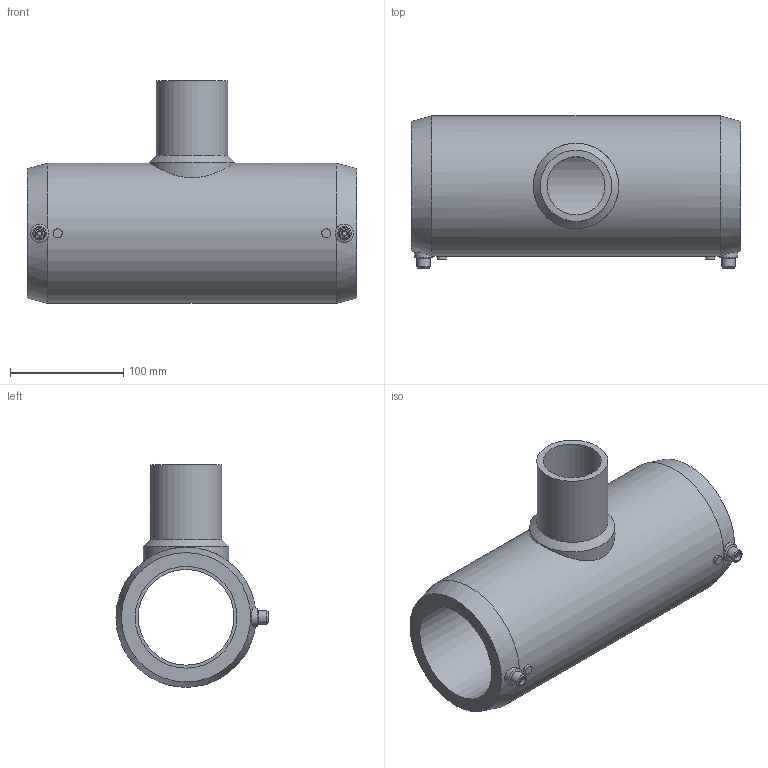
import cadquery as cq
import math

sleeve_length = 291.5
sleeve_diameter = 124.0
socket_diameter = 90.0
stop_diameter = 84.6
stop_width = 80.0
end_taper_length = 18.0
end_taper_angle = 15.0

branch_top = 135.0
branch_diameter = 63.0
branch_bore = 51.4
collar_diameter = 75.6
collar_shoulder_height = 63.0
collar_top = 69.0

terminal_inset = 11.0
terminal_base_diameter = 16.0
terminal_base_reach = 63.2
terminal_cone_height = 0.8
terminal_diameter = 12.0
terminal_reach = 72.5
terminal_chamfer = 1.0
terminal_well_diameter = 8.0
terminal_well_depth = 7.0
pin_diameter = 5.0
pin_chamfer = 0.5
pin_recess = 2.5
indicator_spacing = 16.0
indicator_diameter = 8.0
indicator_reach = 64.6

half_length = sleeve_length / 2
sleeve_radius = sleeve_diameter / 2
end_radius = sleeve_radius - end_taper_length * math.tan(math.radians(end_taper_angle))
root_depth = (sleeve_radius + socket_diameter / 2) / 2


def make_sleeve():
    """Solid sleeve with both ends tapered."""
    taper_start = half_length - end_taper_length
    profile = [
        (-half_length, 0),
        (-half_length, end_radius),
        (-taper_start, sleeve_radius),
        (taper_start, sleeve_radius),
        (half_length, end_radius),
        (half_length, 0),
    ]
    return cq.Workplane("XY").polyline(profile).close().revolve(360, (0, 0, 0), (1, 0, 0))


def make_branch():
    """Solid branch pipe with a collar that narrows to the pipe through a cone."""
    pipe_radius = branch_diameter / 2
    collar_radius = collar_diameter / 2
    profile = [
        (0, 0),
        (collar_radius, 0),
        (collar_radius, collar_shoulder_height),
        (pipe_radius, collar_top),
        (pipe_radius, branch_top),
        (0, branch_top),
    ]
    return cq.Workplane("XZ").polyline(profile).close().revolve(360, (0, 0, 0), (0, 1, 0))


def cylinder_y(x, diameter, start, end):
    """Cylinder pointing to -Y at the given X, between two distances from the sleeve axis."""
    plane = cq.Workplane("XZ", origin=(x, -start, 0))
    return plane.circle(diameter / 2).extrude(end - start)


def cylinder_x(diameter, length):
    """Cylinder along X, centred on the origin."""
    return cq.Workplane("YZ").circle(diameter / 2).extrude(length / 2, both=True)


def make_terminal(x):
    """Terminal with a cone-topped base, a shroud and a contact pin standing in an open well."""
    base = cylinder_y(x, terminal_base_diameter, root_depth, terminal_base_reach + terminal_cone_height)
    cone_run = (terminal_base_diameter - terminal_diameter) / 2
    base = base.faces("<Y").chamfer(terminal_cone_height, cone_run)
    shroud = cylinder_y(x, terminal_diameter, root_depth, terminal_reach)
    shroud = shroud.faces("<Y").chamfer(terminal_chamfer)
    well_floor = terminal_reach - terminal_well_depth
    well = cylinder_y(x, terminal_well_diameter, well_floor, terminal_reach)
    pin = cylinder_y(x, pin_diameter, root_depth, terminal_reach - pin_recess)
    pin = pin.faces("<Y").chamfer(pin_chamfer)
    return base.union(shroud).cut(well).union(pin)


def cut_bores(body):
    """Open the two sockets, the narrower stop between them, and the branch."""
    socket_depth = (sleeve_length - stop_width) / 2
    body = body.cut(cylinder_x(stop_diameter, sleeve_length))
    for socket_start in (-half_length, half_length - socket_depth):
        socket = cq.Workplane("YZ", origin=(socket_start, 0, 0))
        body = body.cut(socket.circle(socket_diameter / 2).extrude(socket_depth))
    return body.cut(cq.Workplane("XY").circle(branch_bore / 2).extrude(branch_top))


result = cut_bores(make_sleeve().union(make_branch()))
for side in (-1, 1):
    terminal_x = side * (half_length - terminal_inset)
    indicator_x = terminal_x - side * indicator_spacing
    result = result.union(make_terminal(terminal_x))
    result = result.union(cylinder_y(indicator_x, indicator_diameter, root_depth, indicator_reach))